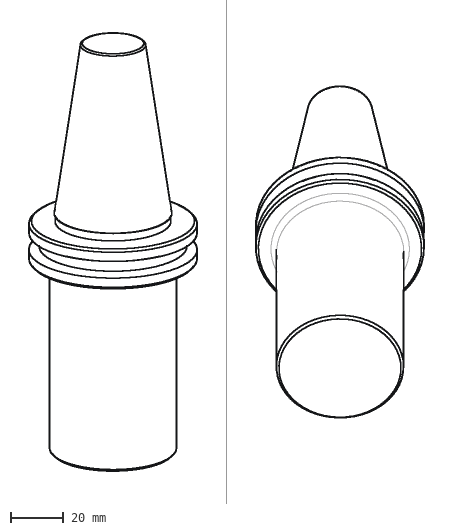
import cadquery as cq

total_height = 163.4
gauge_z = 95.1
flange_top_z = 92.0
flange_bottom_z = 76.0

body_radius = 24.0
body_chamfer = 1.0
body_fillet = 2.1

flange_diameter = 63.5
flange_radius = flange_diameter / 2
flange_top_chamfer = 1.0
flange_bottom_chamfer = 1.0
groove_floor_radius = 28.0
groove_center_z = 84.0
groove_mouth_width = 6.7
groove_floor_width = 4.0

neck_radius = 21.9
gauge_radius = 22.2
taper_ratio = 7 / 24
tip_chamfer = 0.7
tip_radius = gauge_radius - (total_height - gauge_z) * taper_ratio / 2


def make_body():
    """Cylindrical nose with a chamfered bottom edge."""
    body = cq.Workplane("XY").circle(body_radius).extrude(flange_bottom_z)
    return body.faces("<Z").chamfer(body_chamfer)


def make_flange():
    """Flange disc with chamfered rims, resting on top of the body."""
    disc = (
        cq.Workplane("XY")
        .workplane(offset=flange_bottom_z)
        .circle(flange_radius)
        .extrude(flange_top_z - flange_bottom_z)
    )
    disc = disc.faces(">Z").chamfer(flange_top_chamfer)
    return disc.faces("<Z").chamfer(flange_bottom_chamfer)


def make_body_fillet():
    """Concave ring blending the body into the underside of the flange."""
    start_z = flange_bottom_z - body_fillet
    profile = (
        cq.Workplane("XZ")
        .moveTo(0, start_z)
        .lineTo(body_radius, start_z)
        .radiusArc((body_radius + body_fillet, flange_bottom_z), body_fillet)
        .lineTo(0, flange_bottom_z)
        .close()
    )
    return profile.revolve(360, (0, 0, 0), (0, 1, 0))


def make_groove():
    """Ring removed from the flange rim to form the V groove."""
    half_mouth = groove_mouth_width / 2
    half_floor = groove_floor_width / 2
    profile = cq.Workplane("XZ").polyline(
        [
            (flange_radius, groove_center_z - half_mouth),
            (groove_floor_radius, groove_center_z - half_floor),
            (groove_floor_radius, groove_center_z + half_floor),
            (flange_radius, groove_center_z + half_mouth),
        ]
    ).close()
    return profile.revolve(360, (0, 0, 0), (0, 1, 0))


def make_taper():
    """Short relieved neck and the steep taper with a chamfered tip."""
    profile = cq.Workplane("XZ").polyline(
        [
            (0, flange_top_z),
            (neck_radius, flange_top_z),
            (neck_radius, gauge_z),
            (gauge_radius, gauge_z),
            (tip_radius, total_height),
            (0, total_height),
        ]
    ).close()
    taper = profile.revolve(360, (0, 0, 0), (0, 1, 0))
    return taper.faces(">Z").chamfer(tip_chamfer)


flange = make_flange().cut(make_groove())
result = make_body().union(make_body_fillet()).union(flange).union(make_taper())